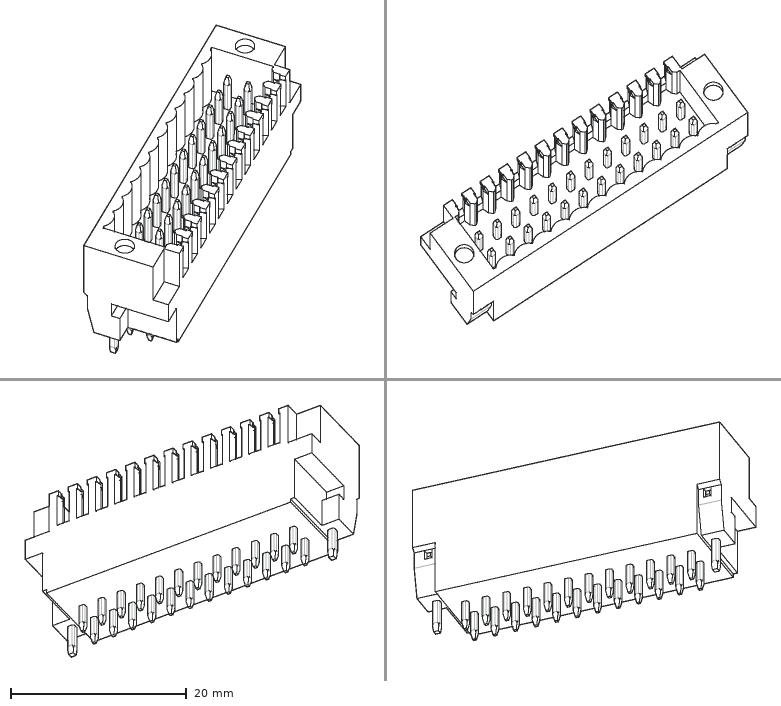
import cadquery as cq

BODY_X = 10.5
BODY_Y = 38.05
BODY_TOP = 14.2
HALF_Y = BODY_Y / 2

CONTACT_COUNT = 12
CONTACT_SPAN = 27.95
CONTACT_PITCH = CONTACT_SPAN / (CONTACT_COUNT - 1)
CONTACT_ROWS_X = (3.6, 6.12)
CONTACT_YS = [i * CONTACT_PITCH - CONTACT_SPAN / 2 for i in range(CONTACT_COUNT)]
PIN_WIDTH = 0.8
PIN_TIP_WIDTH = 0.35
PIN_EDGE_RADIUS = 0.23
PIN_TIP_LENGTH = 1.05
PIN_BOTTOM = -3.5
PIN_TOP = 12.02

POCKET_X_MIN = 0.9
POCKET_X_MAX = 8.6
POCKET_Y = 31.15
POCKET_DEPTH = 7.15
SCALLOP_HEIGHT = 0.57

TOOTH_TIP_HALF = 0.103
SLOT_MOUTH_HALF = CONTACT_PITCH / 2 - TOOTH_TIP_HALF
SLOT_INNER_HALF = 0.75
SLOT_OUTER_HALF = 0.65
SLOT_NECK_HALF = 0.5
SLOT_FLARE_HALF = 0.8
SLOT_INNER_X = 8.98
SLOT_NECK_X = 9.75
INNER_RELIEF_DEPTH = 1.1
OUTER_RELIEF_DEPTH = 0.7
SLOT_OUTER_DEPTH = 4.95

END_WIDTH = 2.8
END_BOTTOM = 0.45
FOOT_CHAMFER_TOP = 6.55
FOOT_FACE_X = 0.45
FOOT_FACE_TOP = FOOT_CHAMFER_TOP - FOOT_FACE_X
FOOT_FACE_BOTTOM = 4.05
FOOT_TOE_X = 1.25
RECESS_DEPTH = 2.3
RECESS_TOP = 6.0
RECESS_X = 3.42
RECESS_STEP_X = 4.5
RECESS_STEP_Z = 4.07
NOTCH_X = POCKET_X_MAX
NOTCH_Y = 3.15
NOTCH_HEIGHT = 5.4

END_AXIS_Y = HALF_Y - 1.75
SCREW_HOLE_X = 4.35
SCREW_HOLE_DIAMETER = 2.2
SCREW_HOLE_DEPTH = 1.03
MOUNT_PIN_X = 3.0
MOUNT_PIN_WIDTH = 0.9
MOUNT_TIP_WIDTH = 0.6
WINDOW_HEIGHT = 1.15
WINDOW_DEPTH = 0.7
WINDOW_PIN_LENGTH = 0.57
WINDOW_TIP_WIDTH = 0.45

OVERLAP = 0.38


def box(x_range, y_range, z_range):
    """Box spanning the given (low, high) ranges."""
    low = [min(r) for r in (x_range, y_range, z_range)]
    high = [max(r) for r in (x_range, y_range, z_range)]
    size = [end - start for start, end in zip(low, high)]
    return cq.Workplane("XY").box(*size, centered=False).translate(tuple(low))


def slot_prism(half_points, z_low, z_high):
    """Prism with an outline through (x, half width) stations, symmetric about Y = 0."""
    lower = [(x, -half) for x, half in reversed(half_points)]
    base = cq.Workplane("XY").workplane(offset=z_low)
    return base.polyline(half_points + lower).close().extrude(z_high - z_low)


def frustum(width, depth, tip_width, length):
    """Rectangular frustum growing along +Z from the base to a square tip."""
    base = cq.Workplane("XY").rect(width, depth)
    return base.workplane(offset=length).rect(tip_width, tip_width).loft(combine=True)


def housing_block():
    """Outer block with both ends shaped."""
    body = box((0, BODY_X), (-HALF_Y, HALF_Y), (0, BODY_TOP))
    for side in (-1, 1):
        body = body.cut(end_cuts(side))
    return body


def end_cuts(side):
    """Material removed at one housing end (side is the sign of Y)."""
    outer = side * (HALF_Y + OVERLAP)
    inner = side * (HALF_Y - END_WIDTH)
    recess_floor = side * (HALF_Y - RECESS_DEPTH)

    foot = (
        cq.Workplane("XZ", origin=(0, inner, 0))
        .moveTo(0, FOOT_CHAMFER_TOP)
        .lineTo(FOOT_FACE_X, FOOT_FACE_TOP)
        .lineTo(FOOT_FACE_X, FOOT_FACE_BOTTOM)
        .lineTo(FOOT_TOE_X, END_BOTTOM)
        .lineTo(BODY_X + OVERLAP, END_BOTTOM)
        .lineTo(BODY_X + OVERLAP, -OVERLAP)
        .lineTo(-OVERLAP, -OVERLAP)
        .lineTo(-OVERLAP, FOOT_CHAMFER_TOP)
        .close()
        .extrude(inner - outer)
    )

    upper_recess = box((RECESS_X, BODY_X + OVERLAP), (recess_floor, outer), (RECESS_STEP_Z, RECESS_TOP))
    lower_recess = box((RECESS_STEP_X, BODY_X + OVERLAP), (recess_floor, outer), (0, RECESS_STEP_Z))

    notch = box(
        (NOTCH_X, BODY_X + OVERLAP),
        (side * (HALF_Y - NOTCH_Y), outer),
        (BODY_TOP - NOTCH_HEIGHT, BODY_TOP + OVERLAP),
    )

    screw_hole = (
        cq.Workplane("XY", origin=(SCREW_HOLE_X, side * END_AXIS_Y, BODY_TOP - SCREW_HOLE_DEPTH))
        .circle(SCREW_HOLE_DIAMETER / 2)
        .extrude(SCREW_HOLE_DEPTH + OVERLAP)
    )
    return foot.union(upper_recess).union(lower_recess).union(notch).union(screw_hole)


def pocket():
    """Plug pocket whose -X wall carries one rounded rib per contact."""
    half = POCKET_Y / 2
    rib_start = CONTACT_YS[0] - CONTACT_PITCH / 2
    outline = (
        cq.Workplane("XY", origin=(0, 0, BODY_TOP - POCKET_DEPTH))
        .moveTo(POCKET_X_MAX, -half)
        .lineTo(POCKET_X_MIN, -half)
        .lineTo(POCKET_X_MIN, rib_start)
    )
    for y in CONTACT_YS:
        outline = outline.threePointArc(
            (POCKET_X_MIN + SCALLOP_HEIGHT, y), (POCKET_X_MIN, y + CONTACT_PITCH / 2)
        )
    outline = outline.lineTo(POCKET_X_MIN, half).lineTo(POCKET_X_MAX, half).close()
    return outline.extrude(POCKET_DEPTH + OVERLAP)


def coding_slot():
    """Slot through the +X wall at Y = 0, tapering to a narrow neck below a wider relief at the top."""
    mouth = [
        (POCKET_X_MAX - OVERLAP, SLOT_MOUTH_HALF),
        (POCKET_X_MAX, SLOT_MOUTH_HALF),
        (SLOT_INNER_X, SLOT_INNER_HALF),
    ]
    neck = (SLOT_NECK_X, SLOT_NECK_HALF)
    inner = mouth + [neck]
    outer = [neck, (BODY_X, SLOT_FLARE_HALF)]
    inner_relief = mouth + [(SLOT_NECK_X, SLOT_INNER_HALF)]
    outer_relief = [(SLOT_NECK_X, SLOT_OUTER_HALF), (BODY_X, SLOT_OUTER_HALF)]

    top = BODY_TOP + OVERLAP
    relief_bottom = BODY_TOP - OUTER_RELIEF_DEPTH
    slot = slot_prism(inner, BODY_TOP - POCKET_DEPTH, top)
    slot = slot.union(slot_prism(outer, BODY_TOP - SLOT_OUTER_DEPTH, relief_bottom))
    slot = slot.union(slot_prism(inner_relief, BODY_TOP - INNER_RELIEF_DEPTH, top))
    return slot.union(slot_prism(outer_relief, relief_bottom, top))


def pin(width, tip_width, z_low, z_high, tip_at_top):
    """Square pin with rounded edges and a tapered lower tip, optionally also an upper tip."""
    shaft_low = z_low + PIN_TIP_LENGTH
    shaft_high = z_high - PIN_TIP_LENGTH if tip_at_top else z_high
    tip = frustum(width, width, tip_width, PIN_TIP_LENGTH)
    flipped_tip = tip.rotate((0, 0, 0), (1, 0, 0), 180)

    shaft = box((-width / 2, width / 2), (-width / 2, width / 2), (shaft_low, shaft_high))
    tapered = shaft.union(flipped_tip.translate((0, 0, shaft_low)))
    if tip_at_top:
        tapered = tapered.union(tip.translate((0, 0, shaft_high)))
    envelope = box((-width / 2, width / 2), (-width / 2, width / 2), (z_low, z_high))
    return tapered.intersect(envelope.edges("|Z").fillet(PIN_EDGE_RADIUS))


def window(side):
    """Opening in the foot face that reveals the tapered rear end of the mounting pin."""
    y = side * END_AXIS_Y
    z_mid = FOOT_FACE_TOP - WINDOW_HEIGHT / 2
    half = MOUNT_PIN_WIDTH / 2
    opening = box(
        (FOOT_FACE_X - OVERLAP, FOOT_FACE_X + WINDOW_DEPTH),
        (y - half, y + half),
        (FOOT_FACE_TOP - WINDOW_HEIGHT, FOOT_FACE_TOP),
    )
    pin_end = (
        frustum(WINDOW_HEIGHT, MOUNT_PIN_WIDTH, WINDOW_TIP_WIDTH, WINDOW_PIN_LENGTH)
        .rotate((0, 0, 0), (0, 1, 0), -90)
        .translate((FOOT_FACE_X + WINDOW_DEPTH, y, z_mid))
    )
    return opening.cut(pin_end)


result = housing_block().cut(pocket())

slot = coding_slot()
for contact_y in CONTACT_YS:
    result = result.cut(slot.translate((0, contact_y, 0)))

contact_pin = pin(PIN_WIDTH, PIN_TIP_WIDTH, PIN_BOTTOM, PIN_TOP, tip_at_top=True)
for contact_y in CONTACT_YS:
    for row_x in CONTACT_ROWS_X:
        result = result.union(contact_pin.translate((row_x, contact_y, 0)))

mount_pin = pin(MOUNT_PIN_WIDTH, MOUNT_TIP_WIDTH, PIN_BOTTOM, END_BOTTOM + OVERLAP, tip_at_top=False)
for end_side in (-1, 1):
    result = result.cut(window(end_side))
    result = result.union(mount_pin.translate((MOUNT_PIN_X, end_side * END_AXIS_Y, 0)))